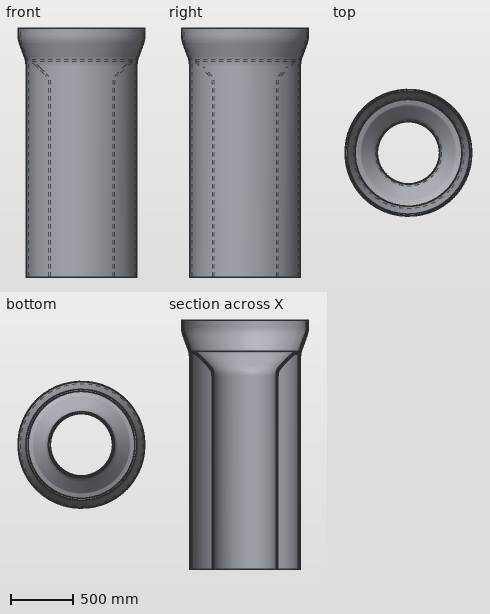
import cadquery as cq
import math

HEIGHT = 2000.0
PIPE_RADIUS = 890.0 / 2
SOCKET_RADIUS = 1017.0 / 2
PIPE_WALL = 16.0

SOCKET_DEPTH = 60.0
FLARE_ANGLE = math.radians(20)
UPPER_BEND_RADIUS = 170.0
LOWER_BEND_RADIUS = 192.0

LINER_BORE_RADIUS = 500.0 / 2
LINER_WALL = (530.0 - 500.0) / 2
RIM_RADIUS = PIPE_RADIUS - PIPE_WALL
RIM_DEPTH = 250.0
RIM_EDGE_RADIUS = 4.0
RIM_SLOPE = math.radians(20)
SHOULDER_RADIUS = 33.0
SHOULDER_START_RADIUS = 389.0
CONE_SLOPE = math.radians(45)
THROAT_BEND_RADIUS = 110.0

upper_centre_r = SOCKET_RADIUS - UPPER_BEND_RADIUS
upper_centre_z = HEIGHT - SOCKET_DEPTH
lower_centre_r = PIPE_RADIUS + LOWER_BEND_RADIUS
bend_radii = UPPER_BEND_RADIUS + LOWER_BEND_RADIUS
centre_gap_r = lower_centre_r - upper_centre_r
flare_length = (bend_radii * math.cos(FLARE_ANGLE) - centre_gap_r) / math.sin(FLARE_ANGLE)
lower_centre_z = (
    upper_centre_z - bend_radii * math.sin(FLARE_ANGLE) - flare_length * math.cos(FLARE_ANGLE)
)


def polar(centre_r, centre_z, radius, angle):
    """Point in the radial plane at an angle above the outward direction."""
    return (centre_r + radius * math.cos(angle), centre_z + radius * math.sin(angle))


def upper_bend(inset, angle):
    return polar(upper_centre_r, upper_centre_z, UPPER_BEND_RADIUS - inset, -angle)


def lower_bend(inset, angle):
    return polar(lower_centre_r, lower_centre_z, LOWER_BEND_RADIUS + inset, math.pi - angle)


def make_pipe():
    half_flare = FLARE_ANGLE / 2
    profile = (
        cq.Workplane("XZ")
        .moveTo(PIPE_RADIUS, 0)
        .lineTo(*lower_bend(0, 0))
        .threePointArc(lower_bend(0, half_flare), lower_bend(0, FLARE_ANGLE))
        .lineTo(*upper_bend(0, FLARE_ANGLE))
        .threePointArc(upper_bend(0, half_flare), upper_bend(0, 0))
        .lineTo(SOCKET_RADIUS, HEIGHT)
        .lineTo(SOCKET_RADIUS - PIPE_WALL, HEIGHT)
        .lineTo(*upper_bend(PIPE_WALL, 0))
        .threePointArc(upper_bend(PIPE_WALL, half_flare), upper_bend(PIPE_WALL, FLARE_ANGLE))
        .lineTo(*lower_bend(PIPE_WALL, FLARE_ANGLE))
        .threePointArc(lower_bend(PIPE_WALL, half_flare), lower_bend(PIPE_WALL, 0))
        .lineTo(PIPE_RADIUS - PIPE_WALL, 0)
        .close()
    )
    return profile.revolve(360, (0, 0), (0, 1))


def make_liner():
    rim_normal = math.pi / 2 + RIM_SLOPE
    cone_normal = math.pi / 2 + CONE_SLOPE
    bore_normal = math.pi
    shoulder_mid = (rim_normal + cone_normal) / 2
    throat_mid = (cone_normal + bore_normal) / 2

    def rim_edge(inset, angle):
        return polar(
            RIM_RADIUS - RIM_EDGE_RADIUS,
            HEIGHT - RIM_DEPTH - RIM_EDGE_RADIUS,
            RIM_EDGE_RADIUS - inset,
            angle,
        )

    rim_start = rim_edge(0, rim_normal)
    rim_fall = (rim_start[0] - SHOULDER_START_RADIUS) * math.tan(RIM_SLOPE)
    shoulder_start_z = rim_start[1] - rim_fall
    shoulder_centre = polar(
        SHOULDER_START_RADIUS, shoulder_start_z, -SHOULDER_RADIUS, rim_normal
    )

    def shoulder(inset, angle):
        return polar(*shoulder_centre, SHOULDER_RADIUS - inset, angle)

    cone_top = shoulder(0, cone_normal)
    throat_centre_r = LINER_BORE_RADIUS + THROAT_BEND_RADIUS
    cone_bottom_r = throat_centre_r + THROAT_BEND_RADIUS * math.cos(cone_normal)
    cone_bottom_z = cone_top[1] - (cone_top[0] - cone_bottom_r) * math.tan(CONE_SLOPE)
    throat_centre_z = cone_bottom_z - THROAT_BEND_RADIUS * math.sin(cone_normal)

    def throat(inset, angle):
        return polar(throat_centre_r, throat_centre_z, THROAT_BEND_RADIUS - inset, angle)

    under_rim = rim_edge(LINER_WALL, rim_normal)
    rim_bottom_z = under_rim[1] + (RIM_RADIUS - under_rim[0]) * math.tan(RIM_SLOPE)

    profile = (
        cq.Workplane("XZ")
        .moveTo(LINER_BORE_RADIUS, 0)
        .lineTo(*throat(0, bore_normal))
        .threePointArc(throat(0, throat_mid), throat(0, cone_normal))
        .lineTo(*cone_top)
        .threePointArc(shoulder(0, shoulder_mid), shoulder(0, rim_normal))
        .lineTo(*rim_start)
        .threePointArc(rim_edge(0, rim_normal / 2), rim_edge(0, 0))
        .lineTo(RIM_RADIUS, rim_bottom_z)
        .lineTo(*shoulder(LINER_WALL, rim_normal))
        .threePointArc(shoulder(LINER_WALL, shoulder_mid), shoulder(LINER_WALL, cone_normal))
        .lineTo(*throat(LINER_WALL, cone_normal))
        .threePointArc(throat(LINER_WALL, throat_mid), throat(LINER_WALL, bore_normal))
        .lineTo(LINER_BORE_RADIUS + LINER_WALL, 0)
        .close()
    )
    return profile.revolve(360, (0, 0), (0, 1))


pipe = make_pipe()
liner = make_liner()
result = cq.Compound.makeCompound([pipe.val(), liner.val()])